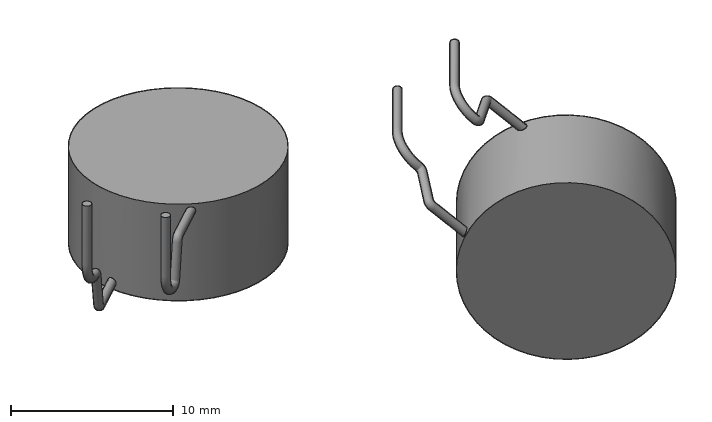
import cadquery as cq
import math

body_diameter = 13.5
body_height = 7.0

wire_diameter = 0.6
total_length = 19.12
total_height = 9.7
lead_spacing = 5.0
exit_inset = 0.52
first_bend_y = -9.05
hook_start_y = -10.27
bend_radius = 0.35
embed_y = -5.74

body_radius = body_diameter / 2
pin_y = body_radius - total_length + wire_diameter / 2
hook_radius = hook_start_y - pin_y
hook_z = body_height / 2


def wire_lead(x, exit_z):
    """Lead from exit_z, sloping to mid height, then hooking up to a vertical pin."""
    side = math.copysign(1, hook_z - exit_z)
    run = first_bend_y - hook_start_y
    rise = abs(hook_z - exit_z)

    center_rise = rise - 2 * bend_radius
    slope_length = math.sqrt(run**2 + center_rise**2 - (2 * bend_radius) ** 2)
    slope = math.atan2(center_rise, run) + math.atan2(2 * bend_radius, slope_length)

    def bend_offset(angle):
        return bend_radius * math.sin(angle), bend_radius * (1 - math.cos(angle))

    def after_exit(angle):
        out, up = bend_offset(angle)
        return first_bend_y - out, exit_z + side * up

    def before_hook(angle):
        out, up = bend_offset(angle)
        return hook_start_y + out, hook_z - side * up

    hook_middle = (
        hook_start_y - hook_radius * math.sin(math.pi / 4),
        hook_z + hook_radius * (1 - math.cos(math.pi / 4)),
    )
    path = (
        cq.Workplane("YZ", origin=(x, 0, 0))
        .moveTo(embed_y, exit_z)
        .lineTo(first_bend_y, exit_z)
        .threePointArc(after_exit(slope / 2), after_exit(slope))
        .lineTo(*before_hook(slope))
        .threePointArc(before_hook(slope / 2), (hook_start_y, hook_z))
        .threePointArc(hook_middle, (pin_y, hook_z + hook_radius))
        .lineTo(pin_y, total_height)
    )
    section = cq.Workplane("XZ", origin=(x, embed_y, exit_z)).circle(wire_diameter / 2)
    return section.sweep(path)


body = cq.Workplane("XY").circle(body_radius).extrude(body_height)
lower_lead = wire_lead(-lead_spacing / 2, exit_inset)
upper_lead = wire_lead(lead_spacing / 2, body_height - exit_inset)

result = body.union(lower_lead).union(upper_lead)